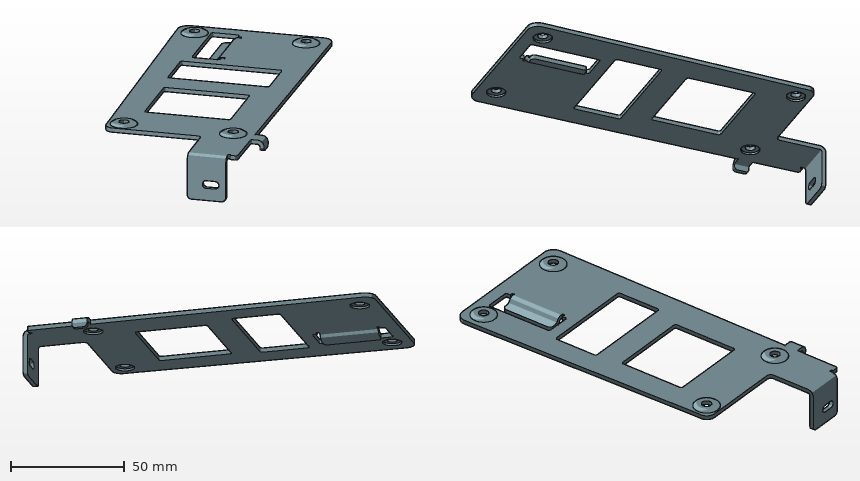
import cadquery as cq
import math

THICKNESS = 2.0
BEND_INNER = 1.0
BEND_OUTER = BEND_INNER + THICKNESS

OVERALL_X = 75.13
OVERALL_Y = 162.09
OVERALL_Z = 22.0
SEAT_HEIGHT = 1.0

PLATE_WIDTH = 70.08
LEFT_TAPER = 2.23
LEFT_TAPER_REAR = 153.1
LEFT_TAPER_FRONT = 32.6
RIGHT_TAPER = 1.16
PLATE_FRONT = 24.0
REAR_CORNER_RADIUS = 5.0
FRONT_CORNER_RADIUS = 4.2
LEG_LEFT = 46.9
LEG_FRONT = 3.2
LEG_INNER_RADIUS = 2.0
LEG_CORNER_RADIUS = 1.0

FLANGE_WIDTH = 17.6
FLANGE_RIGHT = LEG_LEFT + FLANGE_WIDTH
FLANGE_BOTTOM = THICKNESS + SEAT_HEIGHT - OVERALL_Z
FLANGE_CORNER_RADIUS = 2.0
FLANGE_RELIEF_WIDTH = 1.0
FLANGE_RELIEF_END = 4.1
SLOT_LENGTH = 7.5
SLOT_HEIGHT = 3.5
SLOT_X = 57.6
SLOT_Z = -11.5

HOOK_FRONT = 25.5
HOOK_WIDTH = 6.9
HOOK_BOTTOM = -3.0
HOOK_CORNER_RADIUS = 1.5
HOOK_ROOT_RADIUS = 0.7

WINDOW_RADIUS = 1.0
MIDDLE_WINDOW = (12.4, 93.9, 58.7, 116.3)
FRONT_WINDOW = (14.3, 48.1, 53.5, 81.2)
TONGUE_WINDOW = (15.8, 122.2, 28.5, 155.7)

TONGUE_TIP = 21.6
TONGUE_ROOT = 29.0
TONGUE_FRONT = 125.7
TONGUE_REAR = 152.3
TONGUE_DROP = 2.65
RAMP_ANGLE = math.radians(60)
TONGUE_TILT = math.radians(6)
TONGUE_CORNER_RADIUS = 1.8
TONGUE_RELIEF_WIDTH = 1.0
TONGUE_RELIEF_END = 30.0

SEAT_CENTRES = [(8.7, 153.1), (59.6, 153.1), (9.7, 30.8), (59.6, 30.8)]
SEAT_BASE_RADIUS = 6.1
SEAT_TOP_RADIUS = 4.25
SEAT_HOLE_DIAMETER = 4.5


def box(x_min, y_min, z_min, x_max, y_max, z_max):
    size = (x_max - x_min, y_max - y_min, z_max - z_min)
    return cq.Workplane("XY").box(*size, centered=False).translate((x_min, y_min, z_min))


def round_edge(body, middle, radius):
    """Fillet the edge whose middle is nearest the given point."""
    return body.edges(cq.selectors.NearestToPointSelector(middle)).fillet(radius)


def round_corners(body, corners, radius):
    """Fillet upright edges that run through the sheet at the given (x, y) corners."""
    for x, y in corners:
        body = round_edge(body, (x, y, THICKNESS / 2), radius)
    return body


def right_edge_x(y):
    return PLATE_WIDTH - RIGHT_TAPER * (OVERALL_Y - y) / (OVERALL_Y - LEG_FRONT)


def make_plate():
    outline = [
        (0, OVERALL_Y),
        (0, LEFT_TAPER_REAR),
        (LEFT_TAPER, LEFT_TAPER_FRONT),
        (LEFT_TAPER, PLATE_FRONT),
        (LEG_LEFT, PLATE_FRONT),
        (LEG_LEFT, LEG_FRONT),
        (right_edge_x(LEG_FRONT), LEG_FRONT),
        (PLATE_WIDTH, OVERALL_Y),
    ]
    plate = cq.Workplane("XY").polyline(outline).close().extrude(THICKNESS)
    rear_corners = [(0, OVERALL_Y), (PLATE_WIDTH, OVERALL_Y)]
    leg_corner = (right_edge_x(LEG_FRONT), LEG_FRONT)
    plate = round_corners(plate, rear_corners, REAR_CORNER_RADIUS)
    plate = round_corners(plate, [(LEFT_TAPER, PLATE_FRONT)], FRONT_CORNER_RADIUS)
    plate = round_corners(plate, [leg_corner], LEG_CORNER_RADIUS)
    return round_corners(plate, [(LEG_LEFT, PLATE_FRONT)], LEG_INNER_RADIUS)


def fold_profile(plane, root, outer_face, bottom):
    """Section of sheet that runs from root towards lower values and folds down 90 degrees."""
    bend_start = outer_face + BEND_OUTER
    inner_face = outer_face + THICKNESS
    middle = math.sqrt(0.5)
    bend_z = THICKNESS - BEND_OUTER
    return (
        cq.Workplane(plane)
        .moveTo(root, THICKNESS)
        .lineTo(bend_start, THICKNESS)
        .threePointArc(
            (bend_start - BEND_OUTER * middle, bend_z + BEND_OUTER * middle),
            (outer_face, bend_z),
        )
        .lineTo(outer_face, bottom)
        .lineTo(inner_face, bottom)
        .lineTo(inner_face, bend_z)
        .threePointArc(
            (bend_start - BEND_INNER * middle, bend_z + BEND_INNER * middle),
            (bend_start, 0),
        )
        .lineTo(root, 0)
        .close()
    )


def make_flange():
    root = FLANGE_RELIEF_END
    flange = fold_profile("YZ", root, 0, FLANGE_BOTTOM).extrude(FLANGE_WIDTH)
    flange = flange.translate((LEG_LEFT, 0, 0))
    for x in (LEG_LEFT, FLANGE_RIGHT):
        flange = round_edge(flange, (x, THICKNESS / 2, FLANGE_BOTTOM), FLANGE_CORNER_RADIUS)
    slot = (
        cq.Workplane("XZ", origin=(SLOT_X, 0, SLOT_Z))
        .slot2D(SLOT_LENGTH, SLOT_HEIGHT)
        .extrude(-THICKNESS)
    )
    return flange.cut(slot)


def make_flange_relief():
    return box(
        FLANGE_RIGHT, 0, 0,
        FLANGE_RIGHT + FLANGE_RELIEF_WIDTH, FLANGE_RELIEF_END, THICKNESS,
    )


def make_hook():
    root = right_edge_x(HOOK_FRONT) - THICKNESS
    hook = fold_profile("XZ", -root, -OVERALL_X, HOOK_BOTTOM).extrude(-HOOK_WIDTH)
    hook = hook.mirror("YZ").translate((0, HOOK_FRONT, 0))
    for y in (HOOK_FRONT, HOOK_FRONT + HOOK_WIDTH):
        middle = (OVERALL_X - THICKNESS / 2, y, HOOK_BOTTOM)
        hook = round_edge(hook, middle, HOOK_CORNER_RADIUS)
    return hook


def make_window(limits):
    left, front, right, rear = limits
    window = box(left, front, 0, right, rear, THICKNESS)
    return window.edges("|Z").fillet(WINDOW_RADIUS)


def make_tongue_window():
    window = make_window(TONGUE_WINDOW)
    right = TONGUE_WINDOW[2]
    reliefs = box(
        right - WINDOW_RADIUS, TONGUE_FRONT - TONGUE_RELIEF_WIDTH, 0,
        TONGUE_RELIEF_END, TONGUE_REAR + TONGUE_RELIEF_WIDTH, THICKNESS,
    )
    return window.union(reliefs)


def make_tongue():
    """Sheet bent down into a steep ramp, then bent back to a drooping tip."""
    middle_angle = (RAMP_ANGLE + TONGUE_TILT) / 2
    bends_drop = (
        BEND_OUTER * (1 - math.cos(RAMP_ANGLE))
        + BEND_INNER * (math.cos(TONGUE_TILT) - math.cos(RAMP_ANGLE))
    )
    ramp_run = (TONGUE_DROP - bends_drop) / math.tan(RAMP_ANGLE)

    upper_x = TONGUE_ROOT
    upper_z = -BEND_INNER
    lower_x = upper_x - (BEND_OUTER + BEND_INNER) * math.sin(RAMP_ANGLE) - ramp_run
    lower_z = THICKNESS - TONGUE_DROP + BEND_INNER * math.cos(TONGUE_TILT)

    def upper(radius, angle):
        return (upper_x - radius * math.sin(angle), upper_z + radius * math.cos(angle))

    def lower(radius, angle):
        return (lower_x + radius * math.sin(angle), lower_z - radius * math.cos(angle))

    foot_x, foot_z = lower(BEND_INNER, TONGUE_TILT)
    tip_top = (TONGUE_TIP, foot_z - (foot_x - TONGUE_TIP) * math.tan(TONGUE_TILT))
    tip_bottom = (
        tip_top[0] + THICKNESS * math.sin(TONGUE_TILT),
        tip_top[1] - THICKNESS * math.cos(TONGUE_TILT),
    )

    tongue = (
        cq.Workplane("XZ", origin=(0, TONGUE_FRONT, 0))
        .moveTo(TONGUE_RELIEF_END, THICKNESS)
        .lineTo(TONGUE_ROOT, THICKNESS)
        .threePointArc(upper(BEND_OUTER, RAMP_ANGLE / 2), upper(BEND_OUTER, RAMP_ANGLE))
        .lineTo(*lower(BEND_INNER, RAMP_ANGLE))
        .threePointArc(lower(BEND_INNER, middle_angle), (foot_x, foot_z))
        .lineTo(*tip_top)
        .lineTo(*tip_bottom)
        .lineTo(*lower(BEND_OUTER, TONGUE_TILT))
        .threePointArc(lower(BEND_OUTER, middle_angle), lower(BEND_OUTER, RAMP_ANGLE))
        .lineTo(*upper(BEND_INNER, RAMP_ANGLE))
        .threePointArc(upper(BEND_INNER, RAMP_ANGLE / 2), (TONGUE_ROOT, 0))
        .lineTo(TONGUE_RELIEF_END, 0)
        .close()
        .extrude(TONGUE_FRONT - TONGUE_REAR)
    )
    tip_x = (tip_top[0] + tip_bottom[0]) / 2
    tip_z = (tip_top[1] + tip_bottom[1]) / 2
    for y in (TONGUE_FRONT, TONGUE_REAR):
        tongue = round_edge(tongue, (tip_x, y, tip_z), TONGUE_CORNER_RADIUS)
    return tongue


def make_seat():
    """Domed rim around a flat top, tangent to it."""
    rim_run = SEAT_BASE_RADIUS - SEAT_TOP_RADIUS
    top = THICKNESS + SEAT_HEIGHT
    return (
        cq.Workplane("XZ")
        .moveTo(0, THICKNESS)
        .lineTo(0, top)
        .lineTo(SEAT_TOP_RADIUS, top)
        .tangentArcPoint((rim_run, -SEAT_HEIGHT))
        .close()
        .revolve(360, (0, 0, 0), (0, 1, 0))
    )


def make_seat_bore():
    """Screw hole with the hollow pressed up under the seat."""
    hollow = cq.Workplane("XY").circle(SEAT_TOP_RADIUS).extrude(SEAT_HEIGHT)
    hole = cq.Workplane("XY").circle(SEAT_HOLE_DIAMETER / 2).extrude(THICKNESS + SEAT_HEIGHT)
    return hollow.union(hole)


result = make_plate()
result = result.union(make_hook())
result = round_corners(result, [(right_edge_x(HOOK_FRONT), HOOK_FRONT)], HOOK_ROOT_RADIUS)
result = result.union(make_flange()).cut(make_flange_relief())
for window in (make_window(MIDDLE_WINDOW), make_window(FRONT_WINDOW), make_tongue_window()):
    result = result.cut(window)
result = result.union(make_tongue())
for x, y in SEAT_CENTRES:
    result = result.union(make_seat().translate((x, y, 0)))
    result = result.cut(make_seat_bore().translate((x, y, 0)))